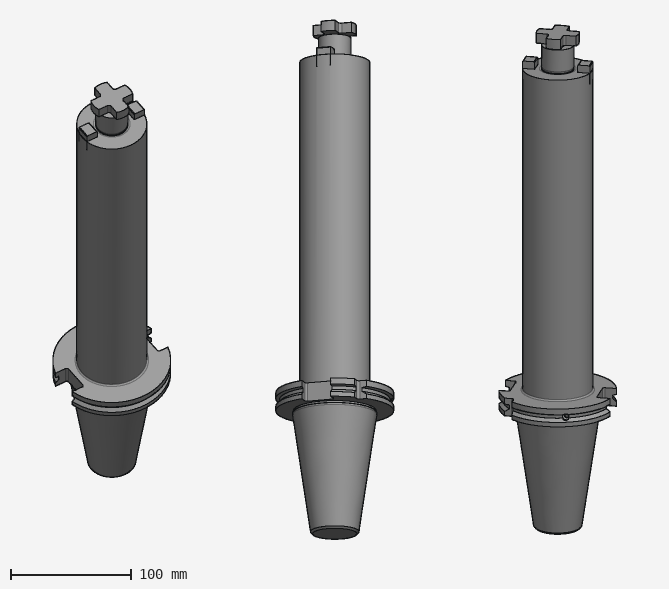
import cadquery as cq
import math

total_length = 433.8
taper_length = 101.5
flange_bottom = 105.0
flange_top = 120.5
body_top = 402.0
pilot_length = 21.0
pilot_top = body_top + pilot_length
head_height = 8.5
head_bottom = total_length - head_height

gauge_diameter = 70.0
gauge_radius = gauge_diameter / 2
taper_slope = 7 / 24 / 2
taper_small_radius = gauge_radius - taper_slope * taper_length
taper_chamfer = 1.7
gauge_land = 1.7
relief_radius = 34.3

flange_diameter = 97.5
flange_radius = flange_diameter / 2
groove_depth = 3.0
groove_mouth_bottom = 109.0
groove_floor_bottom = 111.5
groove_floor_top = 114.5
groove_mouth_top = 115.5
groove_floor_middle = (groove_floor_bottom + groove_floor_top) / 2
slot_width = 25.0
slot_floor_front = 35.5
slot_floor_back = 37.7
slot_fillet = 1.7
notch_corner = 30.5
notch_fillet = 2.0
chip_hole_diameter = 3.5
chip_hole_countersink = 1.5
chip_hole_depth = 2.5
chip_hole_y = -16.5

body_radius = 29.0
body_base_fillet = 1.5
pilot_radius = 13.5
undercut_width = 1.7
undercut_depth = 0.5

key_width = 12.0
key_inner = 18.2
key_corner_overhang = 0.1
key_outer = math.sqrt(body_radius ** 2 - (key_width / 2) ** 2) + key_corner_overhang
key_height = 6.5
key_depth = 9.5
key_chamfer = 0.65

screw_neck_radius = 6.0
head_radius = 18.0
arm_width = 12.0
arm_root_fillet = 2.0


def turned_body():
    """Taper, grooved flange, body and pilot revolved about Z."""
    groove_root_radius = flange_radius - groove_depth
    return (
        cq.Workplane("XZ")
        .moveTo(0, 0)
        .lineTo(taper_small_radius - taper_chamfer, 0)
        .lineTo(taper_small_radius, taper_chamfer)
        .lineTo(gauge_radius, taper_length)
        .lineTo(gauge_radius, taper_length + gauge_land)
        .lineTo(relief_radius, taper_length + gauge_land)
        .lineTo(relief_radius, flange_bottom)
        .lineTo(flange_radius, flange_bottom)
        .lineTo(flange_radius, groove_mouth_bottom)
        .lineTo(groove_root_radius, groove_floor_bottom)
        .lineTo(groove_root_radius, groove_floor_top)
        .lineTo(flange_radius, groove_mouth_top)
        .lineTo(flange_radius, flange_top)
        .lineTo(body_radius + body_base_fillet, flange_top)
        .radiusArc((body_radius, flange_top + body_base_fillet), body_base_fillet)
        .lineTo(body_radius, body_top)
        .lineTo(pilot_radius + undercut_width, body_top)
        .lineTo(pilot_radius, body_top - undercut_depth)
        .lineTo(pilot_radius - undercut_depth, body_top)
        .lineTo(pilot_radius, body_top + undercut_width)
        .lineTo(pilot_radius, pilot_top)
        .lineTo(0, pilot_top)
        .close()
        .revolve(360, (0, 0, 0), (0, 1, 0))
    )


def flange_cutter(x_min, x_max, y_min, y_max):
    """Rectangular block spanning the whole flange thickness."""
    return (
        cq.Workplane("XY", origin=(x_min, y_min, flange_bottom))
        .box(x_max - x_min, y_max - y_min, flange_top - flange_bottom, centered=False)
    )


def drive_slots():
    """Two slots through the flange rim, on -Y and +Y, with the +Y one shallower."""
    half = slot_width / 2
    front = flange_cutter(-half, half, -flange_radius, -slot_floor_front)
    back = flange_cutter(-half, half, slot_floor_back, flange_radius)
    return (
        front.edges("|Z and >Y").fillet(slot_fillet)
        .union(back.edges("|Z and <Y").fillet(slot_fillet))
    )


def orientation_notch():
    """Step cut into the flange rim between -X and +Y, with a rounded inner corner."""
    block = flange_cutter(-flange_radius, -notch_corner, notch_corner, flange_radius)
    return block.edges("|Z and >X and <Y").fillet(notch_fillet)


def chip_hole():
    """Countersunk blind hole along X into the groove floor on the -X side."""
    floor_x = -math.sqrt((flange_radius - groove_depth) ** 2 - chip_hole_y ** 2)
    bore_radius = chip_hole_diameter / 2
    mouth_radius = bore_radius + chip_hole_countersink
    return (
        cq.Workplane("XY", origin=(floor_x, chip_hole_y, groove_floor_middle))
        .moveTo(-groove_depth, 0)
        .lineTo(-groove_depth, mouth_radius)
        .lineTo(0, mouth_radius)
        .lineTo(chip_hole_countersink, bore_radius)
        .lineTo(chip_hole_depth, bore_radius)
        .lineTo(chip_hole_depth, 0)
        .close()
        .revolve(360, (0, 0, 0), (1, 0, 0))
    )


def drive_key(side):
    """Key block set into the end of the body; side is -1 for front, +1 for back."""
    key_middle = side * (key_inner + key_outer) / 2
    return (
        cq.Workplane("XY", origin=(0, key_middle, body_top - key_depth))
        .rect(key_width, key_outer - key_inner)
        .extrude(key_depth + key_height)
        .faces(">Z")
        .edges("|X")
        .chamfer(key_chamfer)
    )


def clamping_screw():
    """Cross-shaped screw head with rounded arm ends on a short neck."""
    neck = (
        cq.Workplane("XY", origin=(0, 0, pilot_top))
        .circle(screw_neck_radius)
        .extrude(head_bottom - pilot_top)
    )
    head_plane = cq.Workplane("XY", origin=(0, 0, head_bottom))
    arm_x = head_plane.rect(2 * head_radius, arm_width).extrude(head_height)
    arm_y = head_plane.rect(arm_width, 2 * head_radius).extrude(head_height)
    inner_corners = cq.selectors.BoxSelector(
        (-arm_width, -arm_width, 0), (arm_width, arm_width, 2 * total_length)
    )
    cross = arm_x.union(arm_y).edges("|Z").edges(inner_corners).fillet(arm_root_fillet)
    rim = head_plane.circle(head_radius).extrude(head_height)
    return neck.union(cross.intersect(rim))


result = (
    turned_body()
    .cut(drive_slots())
    .cut(orientation_notch())
    .cut(chip_hole())
    .union(drive_key(-1))
    .union(drive_key(1))
    .union(clamping_screw())
)